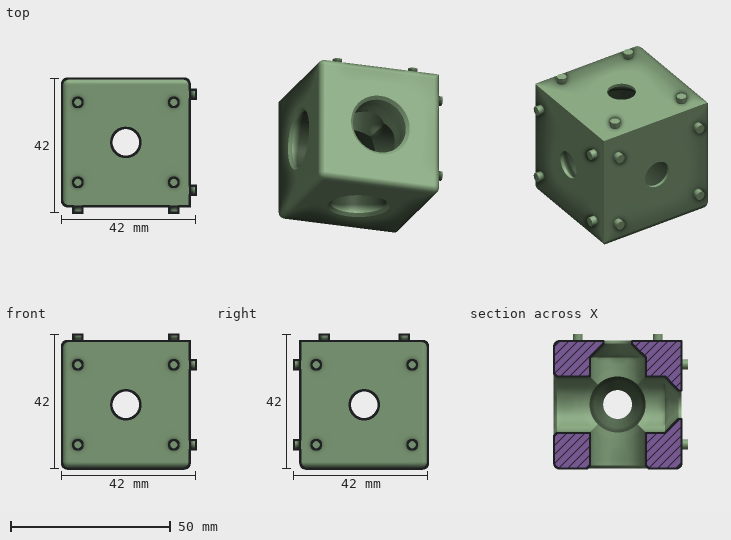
import cadquery as cq

cube_size = 40.0
half_size = cube_size / 2
edge_radius = 2.0

bore_diameter = 17.5
mouth_chamfer = 1.0
exit_diameter = 9.0
exit_length = 1.0
cone_length = (bore_diameter - exit_diameter) / 2

pin_diameter = 3.0
pin_height = 2.0
pin_embed = 1.0
pin_spacing_wide = 30.0
pin_spacing_narrow = 25.0

origin = (0, 0, 0)
exit_planes = [
    cq.Plane(origin=origin, xDir=(0, 1, 0), normal=(1, 0, 0)),
    cq.Plane(origin=origin, xDir=(1, 0, 0), normal=(0, -1, 0)),
    cq.Plane(origin=origin, xDir=(1, 0, 0), normal=(0, 0, 1)),
]


def make_block():
    """Cube with every edge rounded except the three shared by two exit faces."""
    block = cq.Workplane("XY").box(cube_size, cube_size, cube_size)
    mouth_face_edges = block.faces("<X or >Y or <Z").edges()
    return mouth_face_edges.fillet(edge_radius)


def make_bore(plane):
    """Revolved cutter running from the mouth face to the opposite exit face."""
    bore_radius = bore_diameter / 2
    exit_radius = exit_diameter / 2
    cone_top = half_size - exit_length
    profile_plane = cq.Plane(origin=origin, xDir=plane.xDir, normal=plane.xDir.cross(plane.zDir))
    profile = (
        cq.Workplane(profile_plane)
        .moveTo(0, -half_size)
        .lineTo(bore_radius + mouth_chamfer, -half_size)
        .lineTo(bore_radius, -half_size + mouth_chamfer)
        .lineTo(bore_radius, cone_top - cone_length)
        .lineTo(exit_radius, cone_top)
        .lineTo(exit_radius, half_size)
        .lineTo(0, half_size)
        .close()
    )
    return profile.revolve(360, (0, 0, 0), (0, 1, 0))


def make_pins(plane):
    """Four pins in a rectangle, rooted slightly inside the cube."""
    return (
        cq.Workplane(plane)
        .workplane(offset=half_size - pin_embed)
        .rarray(pin_spacing_wide, pin_spacing_narrow, 2, 2)
        .circle(pin_diameter / 2)
        .extrude(pin_embed + pin_height)
    )


result = make_block()
for exit_plane in exit_planes:
    result = result.cut(make_bore(exit_plane))
for exit_plane in exit_planes:
    result = result.union(make_pins(exit_plane))